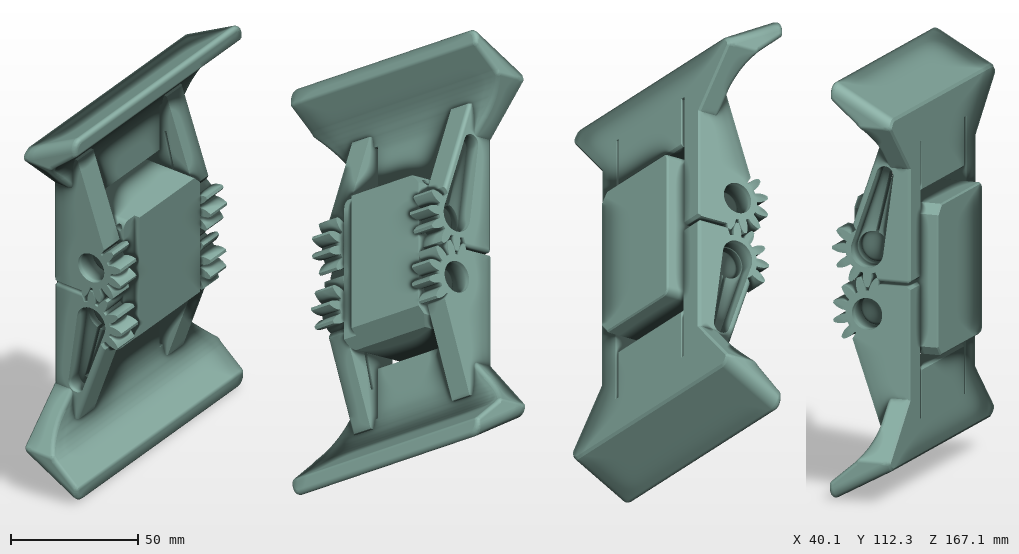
import cadquery as cq
import math


pivot_z = 12.75
tooth_pitch = 30
tip_radius = 14.74
pitch_radius = pivot_z
root_radius = 9.2
tip_half_width = 0.6
pitch_half_width = 1.45
root_half_width = 1.7

plate_outer_x = -18.1
plate_inner_x = -8.9
lip_tip_x = 7.85
lip_corner_z = 70.6
lip_outer_angle = 28.5
lip_inner_angle = 40.5
throat_radius = 19.0
throat_start_z = 54.0
head_width = 111.2
head_offset = -0.55
wing_top_z = 67.0
head_corner_radius = 4.3
lip_tip_radius = 1.7
wing_edge_radius = 1.7
plate_edge_chamfer = 0.8

tab_half_width = 22.3
tab_bottom_z = 35.4
slot_top_z = 55.9
tab_edge_chamfer = 1.0

arm_outer_y = 35.0
plain_arm_inner_y = 24.6
pocket_arm_inner_y = 24.0
arm_end_z = 0.65
arm_end_x = -4.9
arm_back_low = (6.2, 23.2)
arm_back_high = (-6.6, 60.0)
arm_end_chamfer = 1.1
plain_arm_chamfer = 0.7
pocket_arm_fillet = 1.5
pocket_arm_chamfer = 1.1

pocket_end = (-7.5, pivot_z + 31.0)
pocket_pivot_radius = 6.9
pocket_end_radius = 3.6
pocket_depth = 7.0
slit_width = 1.4

pin_radius = 6.4
pin_end_fillet = 1.3
pin_reach = 1.5
collar_radius = 7.2

housing_front_x = -25.4
housing_side_x = 7.5
housing_back_x = 10.0
housing_half_height = 30.5
housing_half_width = 23.6
rear_block_low_y = -16.5
rear_corner_chamfer = 6.6
side_chamfer = 3.8
side_fillet = 3.0
front_edge_chamfer = 0.6
cross_hole_x = 5.3
cross_hole_z = 27.8
cross_hole_radius = 1.4


def slab(outline, y_low, y_high):
    """Extrude a closed XZ outline from y_low to y_high."""
    return outline.extrude(y_low - y_high).translate((0, y_low, 0))


def xz():
    return cq.Workplane("XZ")


def nearest(x, y, z):
    return cq.selectors.NearestToPointSelector((x, y, z))


def cylinder(radius, y_low, y_high, x=0.0, z=pivot_z):
    return slab(xz().center(x, z).circle(radius), y_low, y_high)


def gear_sector(tooth_angles, y_low, y_high):
    """Root disc with a tooth at each listed angle, measured from +X towards +Z."""
    gear = cylinder(root_radius, y_low, y_high)
    tooth_outline = (
        xz()
        .moveTo(root_radius / 2, -root_half_width)
        .lineTo(root_radius, -root_half_width)
        .threePointArc((pitch_radius, -pitch_half_width), (tip_radius, -tip_half_width))
        .lineTo(tip_radius, tip_half_width)
        .threePointArc((pitch_radius, pitch_half_width), (root_radius, root_half_width))
        .lineTo(root_radius / 2, root_half_width)
        .close()
    )
    tooth = slab(tooth_outline, y_low, y_high)
    for angle in tooth_angles:
        turned = tooth.rotate((0, 0, 0), (0, 1, 0), -angle)
        gear = gear.union(turned.translate((0, 0, pivot_z)))
    return gear


def jaw_plate():
    """Plate with gripping lip, 45 degree wings and centre tab."""
    outer_slope = math.tan(math.radians(lip_outer_angle))
    inner_slope = math.tan(math.radians(lip_inner_angle))
    lip_top_z = lip_corner_z + outer_slope * (lip_tip_x - plate_outer_x)
    turn = math.radians(90 - lip_inner_angle)

    def throat_point(angle):
        x = plate_inner_x + throat_radius * (1 - math.cos(angle))
        return (x, throat_start_z + throat_radius * math.sin(angle))

    throat_end = throat_point(turn)
    lip_bottom_z = throat_end[1] + inner_slope * (lip_tip_x - throat_end[0])
    profile = (
        xz()
        .moveTo(plate_outer_x, tab_bottom_z)
        .lineTo(plate_outer_x, lip_corner_z)
        .lineTo(lip_tip_x, lip_top_z)
        .lineTo(lip_tip_x, lip_bottom_z)
        .lineTo(*throat_end)
        .threePointArc(throat_point(turn / 2), (plate_inner_x, throat_start_z))
        .lineTo(plate_inner_x, tab_bottom_z)
        .close()
    )
    head_low = head_offset - head_width / 2
    head_high = head_offset + head_width / 2
    plate = slab(profile, head_low, head_high)

    low_wing_z = wing_top_z - (-arm_outer_y - head_low)
    high_wing_z = wing_top_z - (head_high - arm_outer_y)
    face_outline = (
        cq.Workplane("YZ")
        .polyline([
            (-tab_half_width, tab_bottom_z),
            (tab_half_width, tab_bottom_z),
            (tab_half_width, slot_top_z),
            (pocket_arm_inner_y, slot_top_z),
            (pocket_arm_inner_y, high_wing_z),
            (arm_outer_y, high_wing_z),
            (head_high, wing_top_z),
            (head_high, lip_top_z),
            (head_low, lip_top_z),
            (head_low, wing_top_z),
            (-arm_outer_y, low_wing_z),
            (-plain_arm_inner_y, low_wing_z),
            (-plain_arm_inner_y, slot_top_z),
            (-tab_half_width, slot_top_z),
        ])
        .close()
        .extrude(lip_tip_x - plate_outer_x)
        .translate((plate_outer_x, 0, 0))
    )
    plate = plate.intersect(face_outline)

    middle_x = (plate_outer_x + lip_tip_x) / 2
    middle_z = (lip_corner_z + lip_top_z) / 2
    for side_y in (head_low, head_high):
        corner = nearest(middle_x, side_y, middle_z)
        plate = plate.edges(corner).fillet(head_corner_radius)
    return plate


def edges_softened(plate):
    """Round the lip tip and the inner rim, and chamfer the rim of the outer face and the tab."""
    tab_edge = nearest(plate_outer_x, 0, tab_bottom_z)
    plate = plate.edges(tab_edge).chamfer(tab_edge_chamfer)
    head_low = head_offset - head_width / 2
    head_high = head_offset + head_width / 2
    plate = plate.faces(">X").edges("|Y").fillet(lip_tip_radius)
    for step, side_y in ((-1, head_low), (1, head_high)):
        wing_z = wing_top_z - 15
        rim = nearest(plate_inner_x, side_y - step * 15, wing_z)
        plate = plate.edges(rim).fillet(wing_edge_radius)
        lip_rim = nearest((lip_tip_x + plate_inner_x) / 2, side_y, wing_top_z + 6)
        plate = plate.edges(lip_rim).fillet(wing_edge_radius)
    plate = plate.faces("<X").edges("(not(|Y or |Z)) or >Z").chamfer(plate_edge_chamfer)
    return plate


def jaw_arm(y_low, y_high):
    outline = xz().polyline([
        (plate_outer_x, arm_end_z),
        (arm_end_x, arm_end_z),
        (0, pivot_z),
        arm_back_low,
        arm_back_high,
        (plate_outer_x, arm_back_high[1]),
    ]).close()
    arm = slab(outline, y_low, y_high)
    end_corner = nearest(plate_outer_x, (y_low + y_high) / 2, arm_end_z)
    return arm.edges(end_corner).chamfer(arm_end_chamfer)


def upper_jaw():
    jaw = edges_softened(jaw_plate())
    plain = (-arm_outer_y, -plain_arm_inner_y)
    pocketed = (pocket_arm_inner_y, arm_outer_y)
    plain_teeth = [45 - tooth_pitch * i for i in range(6)]
    pocket_teeth = [30 - tooth_pitch * i for i in range(5)]
    plain_arm = jaw_arm(*plain)
    plain_arm = plain_arm.faces("<X").edges("<Y").chamfer(plain_arm_chamfer)
    pocket_arm = jaw_arm(*pocketed)
    back_middle = [(low + high) / 2 for low, high in zip(arm_back_low, arm_back_high)]
    end_middle_x = (plate_outer_x + arm_end_x) / 2
    back_edge = nearest(back_middle[0], arm_outer_y, back_middle[1])
    end_edge = nearest(end_middle_x, arm_outer_y, arm_end_z)
    pocket_arm = pocket_arm.edges(back_edge + end_edge).fillet(pocket_arm_fillet)
    pocket_arm = pocket_arm.faces("<X").edges(">Y").chamfer(pocket_arm_chamfer)
    jaw = jaw.union(plain_arm).union(pocket_arm)
    jaw = jaw.union(gear_sector(plain_teeth, *plain)).union(gear_sector(pocket_teeth, *pocketed))
    jaw = jaw.cut(cylinder(pin_radius, -arm_outer_y, arm_outer_y))
    return jaw.cut(spring_pocket())


def spring_pocket():
    """Tapered pocket with round ends and a slit through the rest of the arm."""
    floor_y = arm_outer_y - pocket_depth
    run_x = pocket_end[0]
    run_z = pocket_end[1] - pivot_z
    length = math.hypot(run_x, run_z)
    heading = math.atan2(run_z, run_x)
    tangent = math.acos((pocket_pivot_radius - pocket_end_radius) / length)

    def rim(center, radius, angle):
        return (center[0] + radius * math.cos(angle), center[1] + radius * math.sin(angle))

    pivot = (0, pivot_z)
    outline = (
        xz()
        .moveTo(*rim(pivot, pocket_pivot_radius, heading + tangent))
        .threePointArc(
            rim(pivot, pocket_pivot_radius, heading + math.pi),
            rim(pivot, pocket_pivot_radius, heading - tangent),
        )
        .lineTo(*rim(pocket_end, pocket_end_radius, heading - tangent))
        .threePointArc(
            rim(pocket_end, pocket_end_radius, heading),
            rim(pocket_end, pocket_end_radius, heading + tangent),
        )
        .close()
    )
    pocket = slab(outline, floor_y, arm_outer_y)
    slit_outline = xz().center(length / 2, 0).rect(length, slit_width)
    slit = slab(slit_outline, pocket_arm_inner_y, arm_outer_y)
    slit = slit.rotate((0, 0, 0), (0, 1, 0), -math.degrees(heading)).translate((0, 0, pivot_z))
    return pocket.union(slit)


def upper_pin():
    """Pin through the housing with a collar that fills the wider arm gap."""
    end_low = -plain_arm_inner_y - pin_reach
    end_high = pocket_arm_inner_y + pin_reach
    pin = cylinder(pin_radius, end_low, end_high)
    pin = pin.faces("<Y or >Y").edges().fillet(pin_end_fillet)
    collar = cylinder(collar_radius, -plain_arm_inner_y, -housing_half_width)
    return pin.union(collar)


def turned_over(upper):
    """The lower copy of an upper body: half a turn about the X axis."""
    return upper.rotate((0, 0, 0), (1, 0, 0), 180)


def make_housing():
    outline = xz().polyline([
        (housing_front_x, -housing_half_height),
        (housing_back_x - rear_corner_chamfer, -housing_half_height),
        (housing_back_x, -housing_half_height + rear_corner_chamfer),
        (housing_back_x, housing_half_height),
        (housing_front_x, housing_half_height),
    ]).close()
    body = slab(outline, -housing_half_width, housing_half_width)
    body = body.edges("|X and >Y").chamfer(side_chamfer)
    body = body.edges("|X and <Y").fillet(side_fillet)
    body = body.faces("<X").edges().chamfer(front_edge_chamfer)
    corner = cq.Workplane("XY").box(
        housing_back_x - housing_side_x,
        rear_block_low_y + housing_half_width,
        2 * housing_half_height,
        centered=(False, False, True),
    ).translate((housing_side_x, -housing_half_width, 0))
    body = body.cut(corner)
    cross_hole = cylinder(
        cross_hole_radius, -housing_half_width, housing_half_width, cross_hole_x, cross_hole_z
    )
    body = body.cut(cross_hole)
    for z in (-pivot_z, pivot_z):
        body = body.cut(cylinder(pin_radius, -housing_half_width, housing_half_width, 0, z))
    return body


housing = make_housing()
jaw = upper_jaw()
pin = upper_pin()
bodies = [housing, jaw, turned_over(jaw), pin, turned_over(pin)]
result = cq.Compound.makeCompound([body.val() for body in bodies])